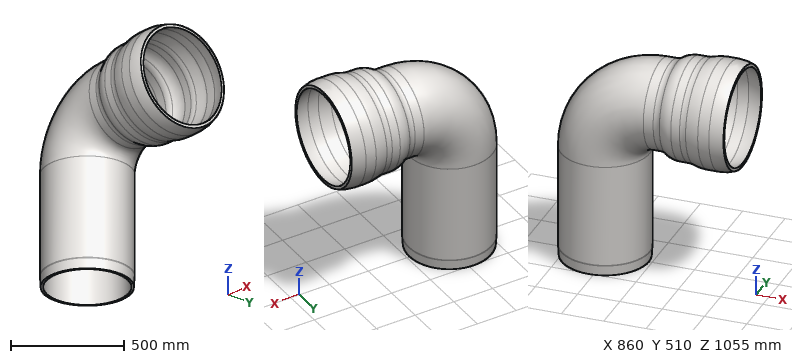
import cadquery as cq
import math

pipe_radius = 420.0 / 2
wall = 15.0
bend_radius = 258.0
overall_height = 1055.0
overall_length = 860.0

sleeve_radius = 480.0 / 2
collar_radius = 510.0 / 2
mouth_radius = 242.0

tip_length = 52.0
tip_end_radius = 207.0
tip_rounding = 1.6

straight_end = 305.0
flare_end = 400.0
sleeve_end = 441.0
collar_start = 533.0
collar_end = 585.0
mouth_x = overall_length - pipe_radius

flare_turn = 0.355
rise_turn = 1 / 3

axis_height = overall_height - collar_radius
bend_start = axis_height - bend_radius


def spigot():
    """Solid vertical pipe whose tip tapers in after a short tangent rounding."""
    taper_angle = math.atan((pipe_radius - tip_end_radius) / tip_length)
    rounding_end = (
        pipe_radius - tip_rounding * math.sin(taper_angle),
        tip_length - tip_rounding * math.cos(taper_angle),
    )
    return (
        cq.Workplane("XZ")
        .moveTo(0, bend_start)
        .lineTo(pipe_radius, bend_start)
        .lineTo(pipe_radius, tip_length + tip_rounding)
        .tangentArcPoint(rounding_end, relative=False)
        .lineTo(tip_end_radius, 0)
        .lineTo(0, 0)
        .close()
        .revolve(360, (0, 0, 0), (0, 1, 0))
    )


def spigot_bore():
    """Straight bore through the spigot."""
    return cq.Workplane("XY").circle(pipe_radius - wall).extrude(bend_start)


def bend(inset):
    """Quarter turn from the spigot to the socket."""
    return (
        cq.Workplane("XY", origin=(0, 0, bend_start))
        .circle(pipe_radius - inset)
        .revolve(90, (bend_radius, 0, 0), (bend_radius, 1, 0))
    )


def between(start, end, share):
    """Value at the given share of the way from start to end."""
    return start + (end - start) * share


def socket(inset):
    """Horizontal pipe flaring to a sleeve, a collar and a rounded-in mouth."""
    pipe = pipe_radius - inset
    sleeve = sleeve_radius - inset
    collar = collar_radius - inset
    flare_middle = (
        between(straight_end, flare_end, flare_turn),
        between(pipe, sleeve, flare_turn),
    )
    rise_middle = (
        between(sleeve_end, collar_start, rise_turn),
        between(sleeve, collar, rise_turn),
    )
    return (
        cq.Workplane("XZ", origin=(0, 0, axis_height))
        .moveTo(bend_radius, 0)
        .lineTo(bend_radius, pipe)
        .lineTo(straight_end, pipe)
        .tangentArcPoint(flare_middle, relative=False)
        .tangentArcPoint((flare_end, sleeve), relative=False)
        .lineTo(sleeve_end, sleeve)
        .tangentArcPoint(rise_middle, relative=False)
        .tangentArcPoint((collar_start, collar), relative=False)
        .lineTo(collar_end, collar)
        .tangentArcPoint((mouth_x, mouth_radius - inset), relative=False)
        .lineTo(mouth_x, 0)
        .close()
        .revolve(360, (0, 0, 0), (1, 0, 0))
    )


spigot_wall = spigot().cut(spigot_bore())
bend_wall = bend(0).cut(bend(wall))
socket_wall = socket(0).cut(socket(wall))
elbow = spigot_wall.union(bend_wall).union(socket_wall)

result = cq.Compound.makeCompound([elbow.solids().val()])